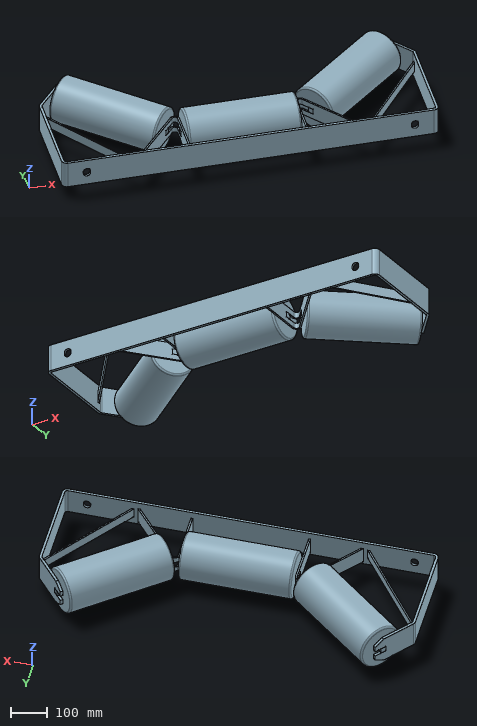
import cadquery as cq
import math


frame_length = 1050.0
frame_height = 80.0
frame_thickness = 8.0
frame_bend_radius = 15.0
upright_corner_y = 273.0
tab_length = 133.0
tab_corner_length = 28.0
tab_corner_height = 16.0
mount_hole_width = 20.0
mount_hole_height = 24.0
mount_hole_x = 457.0

trough_angle = 40.0
lead_angle = 1.2
roller_diameter = 133.0
roller_length = 315.0
roller_edge_radius = 5.0
axle_size = 16.0
axle_gap = 4.2
center_roller_y = 126.0
center_roller_z = -7.3
wing_axis_along_tab = 105.2
wing_axis_z = -0.28

bracket_thickness = 5.0
bracket_height = 50.0
bracket_z = -6.6
bracket_bend_radius = 13.0
strut_thickness = 5.0
strut_height = 30.0
strut_foot_x = 326.0
strut_top_y = 262.0

half_length = frame_length / 2
sin_trough = math.sin(math.radians(trough_angle))
cos_trough = math.cos(math.radians(trough_angle))
upright_corner = (-half_length, upright_corner_y)
tab_axle_length = axle_gap + frame_thickness
bracket_axle_length = axle_gap + bracket_thickness
bracket_leg_x = -(roller_length / 2 + axle_gap)


def from_upright_corner(along_tab, inward):
    """Plan point at a distance along the outer tab face and another square to it, towards the roller."""
    return (
        upright_corner[0] + along_tab * sin_trough + inward * cos_trough,
        upright_corner[1] + along_tab * cos_trough - inward * sin_trough,
    )


wing_end = from_upright_corner(wing_axis_along_tab, tab_axle_length)
wing_end_z = wing_axis_z - tab_axle_length * math.sin(math.radians(lead_angle))
bracket_face_offset = tab_axle_length + roller_length + axle_gap


def upright_plate(points, height, mid_z=0.0):
    """Plate standing along Z with the given plan outline."""
    base = cq.Workplane("XY", origin=(0, 0, mid_z - height / 2))
    return base.polyline(points).close().extrude(height)


def round_corner(plate, corner, radius):
    """Fillet the Z edge of a plate that stands on the plan point `corner`."""
    near = 0.5
    x, y = corner
    picker = cq.selectors.BoxSelector(
        (x - near, y - near, -frame_height), (x + near, y + near, frame_height)
    )
    return plate.edges(picker).fillet(radius)


def mirrored(body):
    return body.mirror("YZ")


def make_roller(first_axle_length, second_axle_length):
    shell = cq.Workplane("YZ").circle(roller_diameter / 2).extrude(roller_length)
    shell = shell.edges().fillet(roller_edge_radius)
    axle_length = first_axle_length + roller_length + second_axle_length
    axle_start = cq.Workplane("YZ", origin=(-first_axle_length, 0, 0))
    axle = axle_start.rect(axle_size, axle_size).extrude(axle_length)
    return shell.union(axle)


def axle_slot(start_x, end_x):
    """Cutter for an axle slot open towards +Y, on the same axis as the unplaced roller."""
    slot_reach = roller_diameter
    slot = cq.Workplane("XY").box(end_x - start_x, slot_reach, axle_size, centered=(False, False, True))
    return slot.translate((start_x, -axle_size / 2, 0))


def place_center(shape):
    return shape.translate((-roller_length / 2, center_roller_y, center_roller_z))


def place_wing(shape):
    leaned = shape.rotate((0, 0, 0), (0, 1, 0), lead_angle)
    inclined = leaned.rotate((0, 0, 0), (0, 0, 1), -trough_angle)
    return inclined.translate((wing_end[0], wing_end[1], wing_end_z))


def make_bent_bar():
    base_corner = (-half_length, 0)
    inner_base_corner = (-half_length + frame_thickness, frame_thickness)
    inner_setback = frame_thickness * math.tan(math.radians(trough_angle / 2))
    inner_upright_corner = (-half_length + frame_thickness, upright_corner_y - inner_setback)
    bar = upright_plate(
        [
            (0, 0),
            base_corner,
            upright_corner,
            from_upright_corner(tab_length, 0),
            from_upright_corner(tab_length, frame_thickness),
            inner_upright_corner,
            inner_base_corner,
            (0, frame_thickness),
        ],
        frame_height,
    )
    for corner in (base_corner, upright_corner):
        bar = round_corner(bar, corner, frame_bend_radius)
    for corner in (inner_base_corner, inner_upright_corner):
        bar = round_corner(bar, corner, frame_bend_radius - frame_thickness)
    return bar.cut(make_tab_corners()).cut(make_mount_hole())


def make_tab_corners():
    """Two wedges that bevel the corners of the tab tip."""
    tip_x, tip_y = from_upright_corner(tab_length, 0)
    edge_z = frame_height / 2
    wedge = (
        cq.Workplane("XZ")
        .polyline([(0, edge_z), (-tab_corner_length, edge_z), (0, edge_z - tab_corner_height)])
        .close()
        .extrude(2 * frame_thickness, both=True)
    )
    wedges = wedge.union(wedge.mirror("XY"))
    return wedges.rotate((0, 0, 0), (0, 0, 1), 90 - trough_angle).translate((tip_x, tip_y, 0))


def make_mount_hole():
    hole = cq.Workplane("XZ", origin=(-mount_hole_x, 0, 0))
    return hole.slot2D(mount_hole_height, mount_hole_width, 90).extrude(-frame_thickness)


def make_bracket():
    """Inverted V: a leg square to the base and a diagonal parallel to the end tab."""
    foot_y = frame_thickness
    climb = cos_trough / sin_trough
    tab_line_x, tab_line_y = from_upright_corner(0, bracket_face_offset)
    outer_foot_x = tab_line_x + (foot_y - tab_line_y) / climb
    inner_foot_x = outer_foot_x + bracket_thickness / cos_trough
    inner_leg_x = bracket_leg_x - bracket_thickness
    outer_apex = (bracket_leg_x, foot_y + (bracket_leg_x - outer_foot_x) * climb)
    inner_apex = (inner_leg_x, foot_y + (inner_leg_x - inner_foot_x) * climb)
    bracket = upright_plate(
        [
            (bracket_leg_x, foot_y),
            outer_apex,
            (outer_foot_x, foot_y),
            (inner_foot_x, foot_y),
            inner_apex,
            (inner_leg_x, foot_y),
        ],
        bracket_height,
        bracket_z,
    )
    bracket = round_corner(bracket, outer_apex, bracket_bend_radius)
    return round_corner(bracket, inner_apex, bracket_bend_radius - bracket_thickness)


def make_strut():
    foot = (-strut_foot_x, frame_thickness)
    top = (-half_length + frame_thickness, strut_top_y)
    run = foot[0] - top[0]
    rise = top[1] - foot[1]
    length = math.hypot(run, rise)
    lower_foot = (foot[0] - strut_thickness * length / rise, foot[1])
    lower_top = (top[0], top[1] - strut_thickness * length / run)
    return upright_plate([foot, top, lower_top, lower_foot], strut_height)


def make_frame():
    half = make_bent_bar().union(make_bracket()).union(make_strut())
    half = half.cut(place_wing(axle_slot(-2 * tab_axle_length, 0)))
    half = half.cut(place_wing(axle_slot(roller_length, roller_length + 2 * bracket_axle_length)))
    half = half.cut(place_center(axle_slot(-2 * bracket_axle_length, 0)))
    return half.union(mirrored(half))


frame = make_frame()
center_roller = place_center(make_roller(bracket_axle_length, bracket_axle_length))
wing_roller = place_wing(make_roller(tab_axle_length, bracket_axle_length))
wing_rollers = [wing_roller, mirrored(wing_roller)]

result = cq.Compound.makeCompound(
    [frame.val(), center_roller.val(), *[roller.val() for roller in wing_rollers]]
)